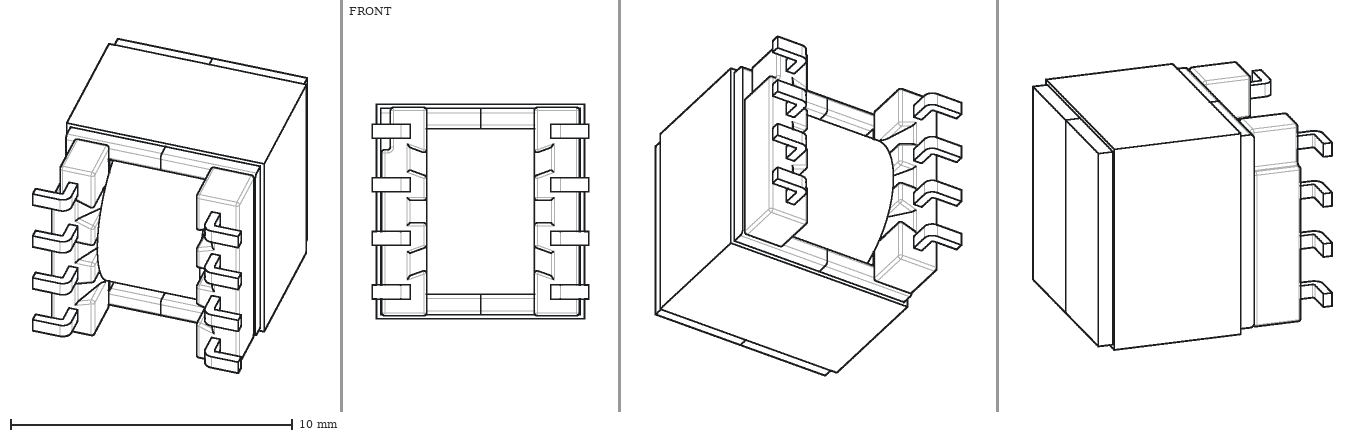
import cadquery as cq
import math


coil_radius = 2.94
coil_half_length = 1.91

core_width = 7.1
core_height = 7.335
core_back_y = 4.29
core_depth = 5.86
core_front_y = core_back_y - core_depth
cavity_radius = coil_radius
cavity_half_length = 2.5
limb_edge_radius = 0.15
post_radius = 1.22

tape_thickness = 0.15
tape_length = 4.76
tape_back_gap = 0.55

tube_wall = 0.22
tube_radius = post_radius + tube_wall
block_outer_x = 3.51
block_height = 7.4
block_front_y = -3.35
edge_radius = 0.1
notch_depth = 0.31
notch_floor_z = 2.2

slot_width = 0.8
slot_mouth_x = 2.55
slot_depth = 1.3
slot_tilt = 20.0
outer_slot_z = 1.66

lead_thickness = 0.33
lead_width = 0.5
lead_pitch = 1.9
leads_per_side = 4
lead_inner_x = 2.5
lead_tip_x = 3.85
lead_front_y = -4.4
lead_inside_bend = 0.07


def x_cylinder(radius, start_x, length):
    """Cylinder about the coil axis, from start_x toward +X."""
    return cq.Workplane("YZ").workplane(offset=start_x).circle(radius).extrude(length)


def box_between(x0, x1, y0, y1, height):
    """Box between two X and two Y positions, centred on z = 0."""
    return (
        cq.Workplane("XY")
        .box(x1 - x0, y1 - y0, height)
        .translate(((x0 + x1) / 2, (y0 + y1) / 2, 0))
    )


def mirrored_to_left(shape):
    """Copy of a right-hand shape on the -X side."""
    return shape.mirror("YZ")


def make_cavity_fill(start_x, end_x):
    """Round slug about the coil axis that runs straight out to the front face of the core."""
    slug = x_cylinder(cavity_radius, start_x, end_x - start_x)
    slug = slug.union(box_between(start_x, end_x, core_front_y, 0, 2 * cavity_radius))
    beyond_core = box_between(start_x, end_x, block_front_y, core_front_y, block_height)
    return slug.cut(beyond_core)


def make_core_half():
    """Right half: a block with a round cavity open to the front, and half of the centre post."""
    body = box_between(0, core_width / 2, core_front_y, core_back_y, core_height)
    body = body.cut(make_cavity_fill(0, cavity_half_length))
    body = body.faces("<Y").edges("|X").fillet(limb_edge_radius)
    return body.union(x_cylinder(post_radius, 0, cavity_half_length))


def make_tape():
    """Closed rectangular sleeve that fits the core exactly."""
    back_y = core_back_y - tape_back_gap
    front_y = back_y - tape_length
    outer_x = core_width / 2 + tape_thickness
    outer = box_between(-outer_x, outer_x, front_y, back_y, core_height + 2 * tape_thickness)
    inner = box_between(-core_width / 2, core_width / 2, front_y, back_y, core_height)
    return outer.cut(inner)


def make_coil():
    """Winding between the flanges, bored to fit over the bobbin tube."""
    winding = x_cylinder(coil_radius, -coil_half_length, 2 * coil_half_length)
    return winding.cut(x_cylinder(tube_radius, -coil_half_length, 2 * coil_half_length))


def make_slot_cutter(centre_z, slope):
    """Wedge that deepens toward the coil; centre_z is its height at the coil-side face."""
    run = slot_mouth_x - coil_half_length
    rise = run * slope
    half_width = slot_width / 2
    outline = (
        cq.Workplane("XZ", origin=(0, block_front_y, 0))
        .polyline([
            (coil_half_length, centre_z - half_width),
            (slot_mouth_x, centre_z + rise - half_width),
            (slot_mouth_x, centre_z + rise + half_width),
            (coil_half_length, centre_z + half_width),
        ])
        .close()
        .extrude(-slot_depth)
    )
    wedge = (
        cq.Workplane("XY")
        .polyline([
            (coil_half_length, block_front_y),
            (slot_mouth_x, block_front_y),
            (coil_half_length, block_front_y + slot_depth),
        ])
        .close()
        .extrude(block_height, both=True)
    )
    return outline.intersect(wedge)


def make_block(notched):
    """Right terminal block with three wire slots, all outer edges rounded."""
    block = box_between(coil_half_length, block_outer_x, block_front_y, core_front_y, block_height)
    if notched:
        notch_wall_x = block_outer_x - notch_depth
        notch = box_between(notch_wall_x, block_outer_x, block_front_y, core_front_y, block_height)
        notch = notch.edges("|Y").edges("<X").edges("<Z").fillet(edge_radius)
        block = block.cut(notch.translate((0, 0, block_height / 2 + notch_floor_z)))
    slope = math.tan(math.radians(slot_tilt))
    for side in (-1, 0, 1):
        block = block.cut(make_slot_cutter(side * outer_slot_z, side * slope))

    flat_sides = block.faces("<X or >X or <Y or >Y or <Z or >Z")
    return flat_sides.edges().fillet(edge_radius)


def make_lead(centre_z):
    """Right lead: a straight leg out of the block, bent outward into a flat foot."""
    foot_y = lead_front_y + lead_thickness
    leg_outer_x = lead_inner_x + lead_thickness
    return (
        cq.Workplane("XY", origin=(0, 0, centre_z - lead_width / 2))
        .moveTo(lead_inner_x, block_front_y)
        .lineTo(lead_inner_x, foot_y)
        .radiusArc((leg_outer_x, lead_front_y), -lead_thickness)
        .lineTo(lead_tip_x, lead_front_y)
        .lineTo(lead_tip_x, foot_y)
        .lineTo(leg_outer_x + lead_inside_bend, foot_y)
        .radiusArc((leg_outer_x, foot_y + lead_inside_bend), lead_inside_bend)
        .lineTo(leg_outer_x, block_front_y)
        .close()
        .extrude(lead_width)
    )


def make_bobbin_side(notched):
    """Right side: flange, terminal block and its row of leads."""
    flange = make_cavity_fill(coil_half_length, cavity_half_length)
    side = flange.union(make_block(notched))
    for index in range(leads_per_side):
        side = side.union(make_lead((index - (leads_per_side - 1) / 2) * lead_pitch))
    return side


def make_bobbin():
    """Tube with a flange, terminal block and leads at each end; the left block has a notch."""
    bobbin = x_cylinder(tube_radius, -cavity_half_length, 2 * cavity_half_length)
    bobbin = bobbin.union(make_bobbin_side(False))
    bobbin = bobbin.union(mirrored_to_left(make_bobbin_side(True)))
    return bobbin.cut(x_cylinder(post_radius, -cavity_half_length, 2 * cavity_half_length))


core_right = make_core_half()
core_left = mirrored_to_left(core_right)
tape = make_tape()
coil = make_coil()
bobbin = make_bobbin()

result = cq.Compound.makeCompound(
    [core_right.val(), core_left.val(), tape.val(), coil.val(), bobbin.val()]
)